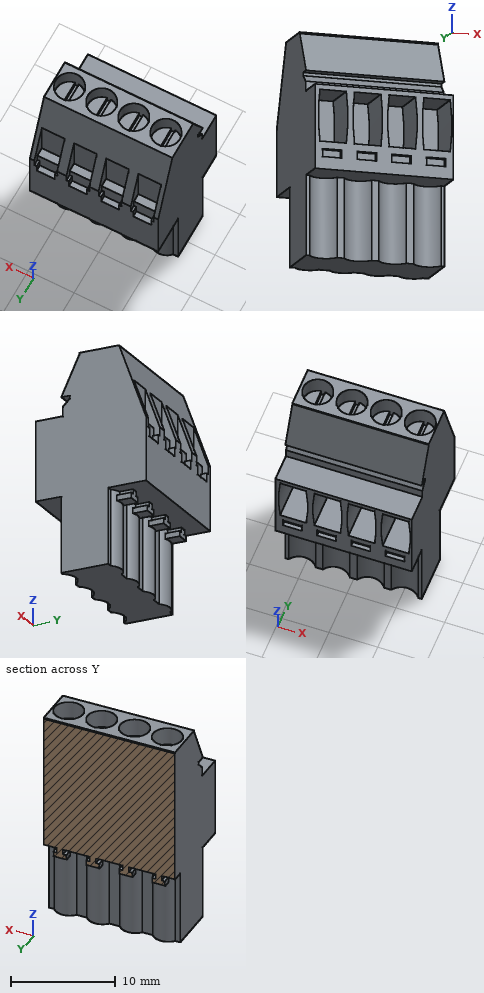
import cadquery as cq


POLES = 4
PITCH = 3.5
WIDTH = 14.0
DEPTH = 11.82
HEIGHT = 22.6

REAR_SLOPE_Z = 14.65
TOP_REAR = 2.9
TOP_FRONT = 7.15
TOP_LIP = 0.15
BEAK_FRONT = 9.09
BEAK_Z = 18.33
GROOVE_FLOOR = 8.18
GROOVE_FLOOR_Z = 18.01
SHELF_REAR = 8.93
SHELF_WALL_Z = 17.3
SHELF_Z = 16.32
PLUG_TOP_Z = 7.95
PLUG_FRONT = 9.09
PLUG_REAR = 4.05

FLUTE_CHORD = 2.78
FLUTE_SAGITTA = 0.75
RIB_CHORD = 2.4
RIB_SAGITTA = 0.56

NOSE_REAR = 2.08
NOSE_NECK_Z = 7.48
NOSE_BOTTOM_Z = 6.92
NOSE_NECK_WIDTH = 0.68
NOSE_TOE_WIDTH = 1.4

ENTRY_SHIFT = 0.1
ENTRY_WIDTH = 2.98
ENTRY_END_WIDTH = 2.67
ENTRY_TOP_Z = 15.82
ENTRY_BOTTOM_Z = 10.7
ENTRY_DEPTH = 4.07
WINDOW_WIDTH = 1.95
WINDOW_TOP_Z = 9.97
WINDOW_BOTTOM_Z = 9.18
WINDOW_DEPTH = 0.45

NOTCH_WIDTH = 2.49
NOTCH_DEPTH = 1.54
NOTCH_STEP_DEPTH = 0.63
NOTCH_STEP_DROP = 0.9
NOTCH_CORE_WIDTH = 1.95
NOTCH_CORE_DROP = 1.8

SCREW_DIAMETER = 3.0
SCREW_LENGTH = 2.25
SCREW_RECESS = 1.85
SCREW_SLOT_WIDTH = 0.4
SCREW_SLOT_DEPTH = 0.5

POLE_CENTRES = [(i - (POLES - 1) / 2) * PITCH for i in range(POLES)]
SCREW_Y = -(TOP_REAR + TOP_FRONT) / 2
SCREW_TOP_Z = HEIGHT - SCREW_RECESS
SCREW_BOTTOM_Z = SCREW_TOP_Z - SCREW_LENGTH


def box_between(x_centre, width, y_rear, y_front, z_low, z_high):
    """Box centred on x_centre, with its Y limits given as distances forward from the rear face."""
    return (
        cq.Workplane("XY", origin=(x_centre, -y_front, z_low))
        .box(width, y_front - y_rear, z_high - z_low, centered=(True, False, False))
    )


def housing_blank():
    """Side profile swept across the full width."""
    outline = [
        (0, PLUG_TOP_Z),
        (0, REAR_SLOPE_Z),
        (-TOP_REAR, HEIGHT),
        (-TOP_FRONT, HEIGHT),
        (-TOP_FRONT, HEIGHT - TOP_LIP),
        (-BEAK_FRONT, BEAK_Z),
        (-GROOVE_FLOOR, BEAK_Z),
        (-GROOVE_FLOOR, GROOVE_FLOOR_Z),
        (-SHELF_REAR, SHELF_WALL_Z),
        (-SHELF_REAR, SHELF_Z),
        (-DEPTH, SHELF_Z),
        (-DEPTH, PLUG_TOP_Z),
        (-PLUG_FRONT, PLUG_TOP_Z),
        (-PLUG_FRONT, 0),
        (-PLUG_REAR, 0),
        (-PLUG_REAR, PLUG_TOP_Z),
    ]
    return cq.Workplane("YZ").polyline(outline).close().extrude(WIDTH / 2, both=True)


def round_segment(x, base_y, chord, sagitta):
    """Upright circular segment along the plug, flat at base_y and bulging to the rear."""
    return (
        cq.Workplane("XY")
        .moveTo(x - chord / 2, base_y)
        .threePointArc((x, base_y + sagitta), (x + chord / 2, base_y))
        .close()
        .extrude(PLUG_TOP_Z)
    )


def plug_rib(x):
    """Round rib on the rear of the plug."""
    return round_segment(x, -PLUG_REAR, RIB_CHORD, RIB_SAGITTA)


def latch_nose(x):
    """Narrow neck with a wider toe, hanging under the upper block behind a rib."""
    neck = box_between(x, NOSE_NECK_WIDTH, NOSE_REAR, PLUG_REAR, NOSE_NECK_Z, PLUG_TOP_Z)
    toe = box_between(x, NOSE_TOE_WIDTH, NOSE_REAR, PLUG_REAR, NOSE_BOTTOM_Z, NOSE_NECK_Z)
    return neck.union(toe)


def plug_flute(x):
    """Round hollow along the front of the plug."""
    return round_segment(x, -PLUG_FRONT, FLUTE_CHORD, FLUTE_SAGITTA)


def wire_entry(x):
    """Wire opening with bowed sides, cut into the front face."""
    half_end = ENTRY_END_WIDTH / 2
    half_middle = ENTRY_WIDTH / 2
    middle_z = (ENTRY_TOP_Z + ENTRY_BOTTOM_Z) / 2
    return (
        cq.Workplane("XZ", origin=(x, -DEPTH, 0))
        .moveTo(-half_end, ENTRY_BOTTOM_Z)
        .lineTo(half_end, ENTRY_BOTTOM_Z)
        .threePointArc((half_middle, middle_z), (half_end, ENTRY_TOP_Z))
        .lineTo(-half_end, ENTRY_TOP_Z)
        .threePointArc((-half_middle, middle_z), (-half_end, ENTRY_BOTTOM_Z))
        .close()
        .extrude(-ENTRY_DEPTH)
    )


def test_window(x):
    """Shallow rectangular window below a wire entry."""
    return box_between(x, WINDOW_WIDTH, DEPTH - WINDOW_DEPTH, DEPTH, WINDOW_BOTTOM_Z, WINDOW_TOP_Z)


def rear_notch(x):
    """Stepped notch, open to the rear and through the sloped face."""
    step_z = REAR_SLOPE_Z - NOTCH_STEP_DROP
    core_z = REAR_SLOPE_Z - NOTCH_CORE_DROP
    upper = box_between(x, NOTCH_WIDTH, 0, NOTCH_DEPTH, REAR_SLOPE_Z, HEIGHT)
    step = box_between(x, NOTCH_WIDTH, 0, NOTCH_STEP_DEPTH, step_z, REAR_SLOPE_Z)
    core = box_between(x, NOTCH_CORE_WIDTH, 0, NOTCH_STEP_DEPTH, core_z, step_z)
    return upper.union(step).union(core)


def screw_hole(x):
    """Blind hole from the top that takes a screw."""
    return (
        cq.Workplane("XY", origin=(x, SCREW_Y, SCREW_BOTTOM_Z))
        .circle(SCREW_DIAMETER / 2)
        .extrude(HEIGHT - SCREW_BOTTOM_Z)
    )


def make_housing():
    body = housing_blank()
    for x in POLE_CENTRES:
        body = body.union(plug_rib(x)).union(latch_nose(x))
        body = body.cut(plug_flute(x)).cut(test_window(x)).cut(rear_notch(x))
        body = body.cut(wire_entry(x + ENTRY_SHIFT)).cut(screw_hole(x + ENTRY_SHIFT))
    return body


def make_screw(x):
    """Plain cylindrical screw with a straight driver slot along Y."""
    shank = (
        cq.Workplane("XY", origin=(x, SCREW_Y, SCREW_BOTTOM_Z))
        .circle(SCREW_DIAMETER / 2)
        .extrude(SCREW_LENGTH)
    )
    slot = (
        cq.Workplane("XY", origin=(x, SCREW_Y, SCREW_TOP_Z - SCREW_SLOT_DEPTH))
        .rect(SCREW_SLOT_WIDTH, SCREW_DIAMETER)
        .extrude(SCREW_SLOT_DEPTH)
    )
    return shank.cut(slot)


housing = make_housing()
screws = [make_screw(x + ENTRY_SHIFT) for x in POLE_CENTRES]

result = cq.Compound.makeCompound([housing.val(), *[screw.val() for screw in screws]])